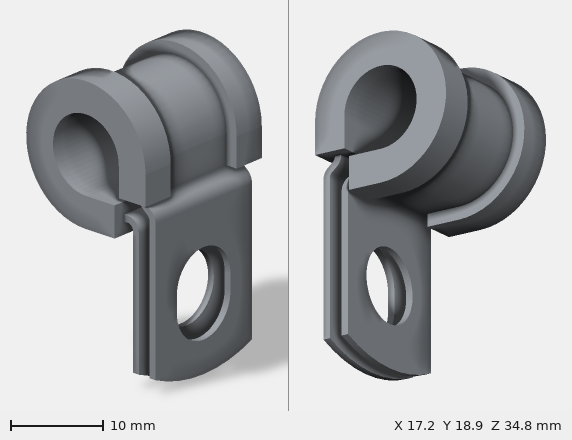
import cadquery as cq
import math

cushion_diameter = 17.25
bore_diameter = 9.52
cushion_length = 18.95
flange_width = 4.1
upper_end_z = -3.75
lower_end_x = 4.17

strap_thickness = 0.85
strap_width = 15.75
groove_depth = 1.5
bend_inner_radius = 0.75
jog_angle = math.radians(50)

total_height = 34.75
leg_gap = 1.55
tip_rise = 1.67
hole_diameter = 8.72
hole_z = -16.68
slot_extension = 1.05

cushion_radius = cushion_diameter / 2
bore_radius = bore_diameter / 2
strap_outer_radius = cushion_radius - groove_depth
strap_inner_radius = strap_outer_radius - strap_thickness
bend_outer_radius = bend_inner_radius + strap_thickness
groove_width = cushion_length - 2 * flange_width
leg_bottom_z = cushion_radius - total_height
outer_leg_x = cushion_radius
inner_leg_x = outer_leg_x - strap_thickness - leg_gap


def extrude_along_y(outline, width):
    """Extrude a closed XZ outline symmetrically about Y = 0."""
    return outline.extrude(width / 2, both=True)


def c_section(outer_radius, inner_radius, width):
    """C-shaped band whose ends point down on the right and right at the bottom."""
    outline = (
        cq.Workplane("XZ")
        .moveTo(outer_radius, upper_end_z)
        .lineTo(outer_radius, 0)
        .threePointArc(
            (-outer_radius * math.sqrt(0.5), outer_radius * math.sqrt(0.5)),
            (0, -outer_radius),
        )
        .lineTo(lower_end_x, -outer_radius)
        .lineTo(lower_end_x, -inner_radius)
        .lineTo(0, -inner_radius)
        .threePointArc(
            (-inner_radius * math.sqrt(0.5), inner_radius * math.sqrt(0.5)),
            (inner_radius, 0),
        )
        .lineTo(inner_radius, upper_end_z)
        .close()
    )
    return extrude_along_y(outline, width)


def arc_point(center, radius, angle):
    """Point on a circle in XZ, with the angle measured from +X toward +Z."""
    return (center[0] + radius * math.cos(angle), center[1] + radius * math.sin(angle))


def inner_leg():
    """Leg that turns down from the lower end of the band."""
    center = (inner_leg_x - bend_outer_radius, -strap_inner_radius - bend_outer_radius)
    mid_angle = math.pi / 4
    outline = (
        cq.Workplane("XZ")
        .moveTo(lower_end_x, -strap_inner_radius)
        .lineTo(center[0], -strap_inner_radius)
        .threePointArc(arc_point(center, bend_outer_radius, mid_angle), (inner_leg_x, center[1]))
        .lineTo(inner_leg_x, leg_bottom_z)
        .lineTo(inner_leg_x - strap_thickness, leg_bottom_z)
        .lineTo(inner_leg_x - strap_thickness, center[1])
        .threePointArc(
            arc_point(center, bend_inner_radius, mid_angle), (center[0], -strap_outer_radius)
        )
        .lineTo(lower_end_x, -strap_outer_radius)
        .close()
    )
    return extrude_along_y(outline, strap_width)


def outer_leg():
    """Leg that jogs outward from the upper end of the band, then runs straight down."""
    middle_radius = (bend_inner_radius + bend_outer_radius) / 2
    bend_shift = 2 * middle_radius * (1 - math.cos(jog_angle))
    slant_drop = (groove_depth - bend_shift) / math.tan(jog_angle)
    jog_drop = 2 * middle_radius * math.sin(jog_angle) + slant_drop

    top_center = (strap_inner_radius + bend_outer_radius, upper_end_z)
    low_center = (outer_leg_x - bend_outer_radius, upper_end_z - jog_drop)
    top_mid = math.pi + jog_angle / 2
    top_end = math.pi + jog_angle
    outline = (
        cq.Workplane("XZ")
        .moveTo(strap_inner_radius, upper_end_z)
        .threePointArc(
            arc_point(top_center, bend_outer_radius, top_mid),
            arc_point(top_center, bend_outer_radius, top_end),
        )
        .lineTo(*arc_point(low_center, bend_inner_radius, jog_angle))
        .threePointArc(
            arc_point(low_center, bend_inner_radius, jog_angle / 2),
            (outer_leg_x - strap_thickness, low_center[1]),
        )
        .lineTo(outer_leg_x - strap_thickness, leg_bottom_z)
        .lineTo(outer_leg_x, leg_bottom_z)
        .lineTo(outer_leg_x, low_center[1])
        .threePointArc(
            arc_point(low_center, bend_outer_radius, jog_angle / 2),
            arc_point(low_center, bend_outer_radius, jog_angle),
        )
        .lineTo(*arc_point(top_center, bend_inner_radius, top_end))
        .threePointArc(
            arc_point(top_center, bend_inner_radius, top_mid),
            (strap_outer_radius, upper_end_z),
        )
        .close()
    )
    return extrude_along_y(outline, strap_width)


def leg_face_envelope():
    """Side profile of the legs: straight edges, a curved tip and the screw hole."""
    half_width = strap_width / 2
    corner_z = leg_bottom_z + tip_rise
    return (
        cq.Workplane("YZ")
        .moveTo(-half_width, 0)
        .lineTo(-half_width, corner_z)
        .threePointArc((0, leg_bottom_z), (half_width, corner_z))
        .lineTo(half_width, 0)
        .close()
        .moveTo(0, hole_z)
        .circle(hole_diameter / 2)
        .extrude(cushion_diameter)
    )


def outer_leg_slot():
    """Vertical adjustment slot, as wide as the hole and centered on it."""
    return (
        cq.Workplane("YZ", origin=(outer_leg_x - strap_thickness, 0, hole_z))
        .slot2D(hole_diameter + 2 * slot_extension, hole_diameter, 90)
        .extrude(strap_thickness)
    )


cushion = c_section(strap_outer_radius, bore_radius, cushion_length)
flange_offset = (groove_width + flange_width) / 2
for side in (-1, 1):
    flange = c_section(cushion_radius, bore_radius, flange_width)
    cushion = cushion.union(flange.translate((0, side * flange_offset, 0)))

legs = inner_leg().union(outer_leg()).intersect(leg_face_envelope())
legs = legs.cut(outer_leg_slot())
result = cushion.union(legs)